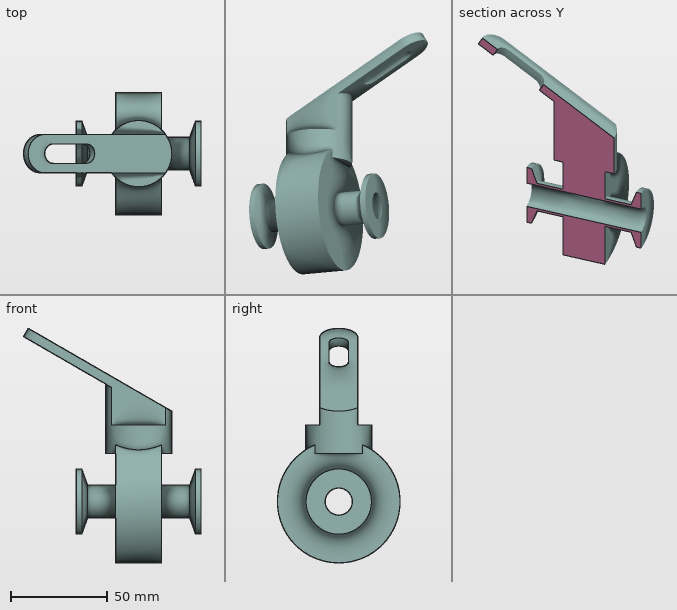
import cadquery as cq
import math

disc_diameter = 64.0
disc_width = 24.0
pipe_diameter = 17.3
bore_diameter = 14.0

flange_span = 65.0
flange_diameter = 34.0
flange_rim = 2.9
flange_taper_angle = 20.0

neck_diameter = 34.5
neck_bottom = 25.0
neck_shoulder = 40.0

lever_angle = 30.0
lever_width = 20.0
lever_thickness = 5.0
lever_tip_x = -57.5
lever_tip_z = 90.24
slot_width = 10.0
slot_length = 30.0
slot_tip_margin = 10.0

neck_radius = neck_diameter / 2
lever_length = (neck_radius - lever_tip_x) / math.cos(math.radians(lever_angle))


def x_cylinder(diameter, length):
    """Cylinder along X, centred on the origin."""
    return cq.Workplane("YZ").circle(diameter / 2).extrude(length / 2, both=True)


def flanged_pipe():
    """Pipe with a tapered clamp flange at each end, revolved about X."""
    end_x = flange_span / 2
    rim_x = end_x - flange_rim
    flange_radius = flange_diameter / 2
    pipe_radius = pipe_diameter / 2
    taper_length = (flange_radius - pipe_radius) * math.tan(math.radians(flange_taper_angle))
    taper_x = rim_x - taper_length
    profile = (
        cq.Workplane("XY")
        .moveTo(-end_x, 0)
        .lineTo(-end_x, flange_radius)
        .lineTo(-rim_x, flange_radius)
        .lineTo(-taper_x, pipe_radius)
        .lineTo(taper_x, pipe_radius)
        .lineTo(rim_x, flange_radius)
        .lineTo(end_x, flange_radius)
        .lineTo(end_x, 0)
        .close()
    )
    return profile.revolve(360, (0, 0, 0), (1, 0, 0))


def lever_plane():
    """Top face of the lever: origin at the tip, local x running down the slope."""
    slope = math.radians(lever_angle)
    return cq.Plane(
        origin=(lever_tip_x, 0, lever_tip_z),
        xDir=(math.cos(slope), 0, -math.sin(slope)),
        normal=(math.sin(slope), 0, math.cos(slope)),
    )


def neck():
    """Round base with a narrower, flat-sided upper part cut off along the slope."""
    base = (
        cq.Workplane("XY", origin=(0, 0, neck_bottom))
        .circle(neck_radius)
        .extrude(neck_shoulder - neck_bottom)
    )
    upper_height = lever_tip_z - neck_shoulder
    flats = cq.Workplane("XY", origin=(0, 0, neck_shoulder)).box(
        neck_diameter, lever_width, upper_height, centered=(True, True, False)
    )
    upper = (
        cq.Workplane("XY", origin=(0, 0, neck_shoulder))
        .circle(neck_radius)
        .extrude(upper_height)
        .intersect(flats)
    )
    above_slope = (
        cq.Workplane(lever_plane())
        .rect(lever_length + neck_diameter, neck_diameter, centered=(False, True))
        .extrude(lever_length)
    )
    return base.union(upper.cut(above_slope))


def lever():
    """Sloping plate with a round tip; its top face ends on the neck axis."""
    tip_radius = lever_width / 2
    plate_end = -lever_tip_x / math.cos(math.radians(lever_angle))
    return (
        cq.Workplane(lever_plane())
        .moveTo(plate_end, -tip_radius)
        .lineTo(tip_radius, -tip_radius)
        .threePointArc((0, 0), (tip_radius, tip_radius))
        .lineTo(plate_end, tip_radius)
        .close()
        .extrude(-lever_thickness)
    )


def lever_slot():
    """Round-ended slot through the lever."""
    return (
        cq.Workplane(lever_plane())
        .center(slot_tip_margin + slot_length / 2, 0)
        .slot2D(slot_length, slot_width)
        .extrude(-lever_thickness)
    )


disc = x_cylinder(disc_diameter, disc_width)
bore = x_cylinder(bore_diameter, flange_span)
body = disc.union(flanged_pipe()).cut(bore)
handle = neck().union(lever()).cut(lever_slot())

result = body.union(handle)